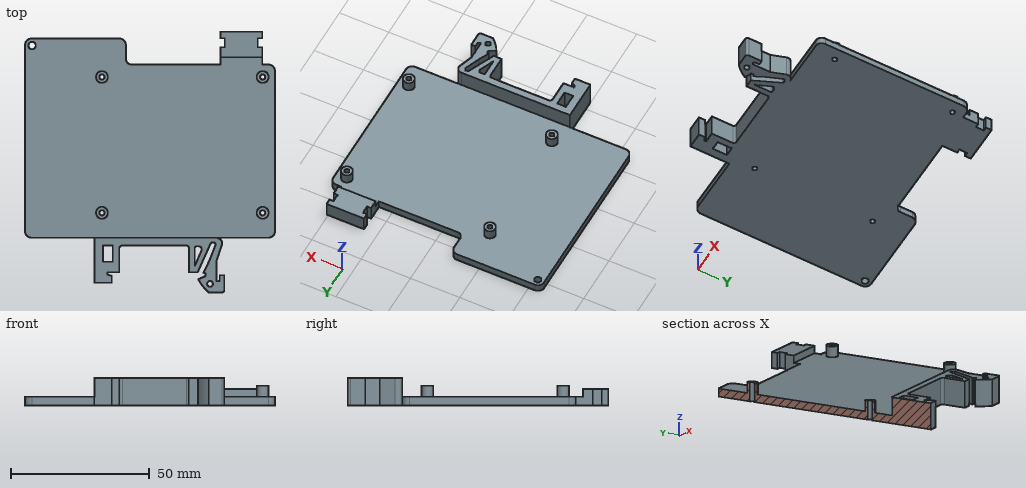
import cadquery as cq

PLATE_LENGTH = 90.3
PLATE_WIDTH = 72.0
PLATE_THICKNESS = 3.2
TAB_LENGTH = 36.5
STEP_DEPTH = 9.4
PLATE_CORNER_RADIUS = 2.5
STEP_INNER_RADIUS = 2.0

TAB_HOLE_DIAMETER = 2.6
TAB_HOLE_INSET = 2.6

STANDOFF_DIAMETER = 4.3
STANDOFF_HOLE_DIAMETER = 1.8
STANDOFF_HEIGHT = 4.0
STANDOFF_SPACING_X = 58.0
STANDOFF_SPACING_Y = 49.0
FIRST_STANDOFF_X = 27.8
FIRST_STANDOFF_Y = 9.05

BLOCK_WIDTH = 15.2
BLOCK_LEFT = 70.5
BLOCK_FRONT = 65.2
BLOCK_BACK = 74.4
NECK_OVERLAP = 1.0
BLOCK_TOP = 6.0
NOTCH_LENGTH = 3.2
NOTCH_DEPTH = 1.6
NOTCH_BACK_MARGIN = 2.4

CLIP_LEFT = 25.1
CLIP_HEIGHT = 10.0
CLIP_LENGTH = 46.9
OVERALL_WIDTH = 94.16
CLIP_REACH = OVERALL_WIDTH - BLOCK_BACK
BAR_THICKNESS = 2.8
LEG_BOTTOM = 12.4
LEFT_LEG_WIDTH = 9.0
RIGHT_LEG_LEFT = 34.1
RIGHT_LEG_TIP = 37.3
LEG_CORNER_RADIUS = 1.0
FOOT_BOTTOM = 16.2
FOOT_WIDTH = 6.3
FOOT_UNDERCUT_LEFT = 4.8
FOOT_LIP_INNER = 13.2
FOOT_LIP_OUTER = 13.7
SLOT_TOP = 1.7
SLOT_TOP_LEFT = 42.1
SLOT_TOP_RIGHT = 44.0
ARM_BEND = (41.3, -8.5)
ARM_RIGHT = 44.1
ARM_STRAIGHT_TOP = 8.2
CATCH_LEFT = 39.3
CATCH_RIGHT = 40.0
CATCH_START = 12.6
CATCH_TOP = 12.8
CATCH_BOTTOM = 13.8
NOSE_TIP = (37.4, -14.9)
NOSE_MIDDLE = (39.1, -17.5)
NOSE_BOTTOM_X = 41.3
HOOK_TOP = 13.4
HOOK_LEFT = 45.2
GROOVE_BOTTOM = 15.6
ARM_SHOULDER_RADIUS = 2.0
SLOT_END_RADIUS = 0.7
HOOK_CORNER_RADIUS = 1.0
GROOVE_CORNER_RADIUS = 0.5

WINDOW_LEFT = 3.1
WINDOW_WIDTH = 3.5
WINDOW_LENGTH = 5.8
WEDGE_LEFT = 36.2
WEDGE_TOP = 3.1
WEDGE_WIDTH = 3.0
WEDGE_LENGTH = 7.0
WEDGE_LEFT_RADIUS = 0.5
WEDGE_RIGHT_RADIUS = 1.0
RELEASE_HOLE_DIAMETER = 2.0
RELEASE_HOLE_CENTER = (41.7, -16.6)


def round_corner(body, x, y, radius):
    """Round the vertical edge that passes through (x, y)."""
    reach = 0.05
    picker = cq.selectors.BoxSelector((x - reach, y - reach, 0), (x + reach, y + reach, CLIP_HEIGHT))
    return body.edges("|Z").edges(picker).fillet(radius)


def make_plate():
    narrow_width = PLATE_WIDTH - STEP_DEPTH
    outer_corners = [
        (0, 0),
        (PLATE_LENGTH, 0),
        (PLATE_LENGTH, narrow_width),
        (TAB_LENGTH, PLATE_WIDTH),
        (0, PLATE_WIDTH),
    ]
    inner_corner = (TAB_LENGTH, narrow_width)
    outline = outer_corners[:3] + [inner_corner] + outer_corners[3:]
    plate = cq.Workplane("XY").polyline(outline).close().extrude(PLATE_THICKNESS)
    for x, y in outer_corners:
        plate = round_corner(plate, x, y, PLATE_CORNER_RADIUS)
    return round_corner(plate, *inner_corner, STEP_INNER_RADIUS)


def make_block():
    """Block with a notch in each side, on a neck that carries on from the plate."""
    neck_front = PLATE_WIDTH - STEP_DEPTH - NECK_OVERLAP
    neck = (
        cq.Workplane("XY")
        .box(BLOCK_WIDTH, BLOCK_BACK - neck_front, PLATE_THICKNESS, centered=False)
        .translate((BLOCK_LEFT, neck_front, 0))
    )
    block = (
        cq.Workplane("XY")
        .box(BLOCK_WIDTH, BLOCK_BACK - BLOCK_FRONT, BLOCK_TOP, centered=False)
        .translate((BLOCK_LEFT, BLOCK_FRONT, 0))
    )
    notch_center_y = BLOCK_BACK - NOTCH_BACK_MARGIN - NOTCH_LENGTH / 2
    notches = (
        cq.Workplane("XY")
        .pushPoints([(BLOCK_LEFT, notch_center_y), (BLOCK_LEFT + BLOCK_WIDTH, notch_center_y)])
        .rect(2 * NOTCH_DEPTH, NOTCH_LENGTH)
        .extrude(BLOCK_TOP)
    )
    return neck.union(block).cut(notches)


def make_clip():
    """Rail clip: fixed foot on the left, slanted spring arm with a hook on the right."""
    left_inner_corner = (LEFT_LEG_WIDTH, -BAR_THICKNESS)
    right_inner_corner = (RIGHT_LEG_LEFT, -BAR_THICKNESS)
    slot_end_left = (SLOT_TOP_LEFT, -SLOT_TOP)
    slot_end_right = (SLOT_TOP_RIGHT, -SLOT_TOP)
    hook_corner = (CLIP_LENGTH, -CLIP_REACH)
    groove_corner = (HOOK_LEFT, -GROOVE_BOTTOM)
    shoulder = (CLIP_LENGTH, 0)
    clip = (
        cq.Workplane("XY")
        .moveTo(0, 0)
        .lineTo(0, -FOOT_BOTTOM)
        .lineTo(FOOT_WIDTH, -FOOT_BOTTOM)
        .lineTo(FOOT_WIDTH, -FOOT_LIP_OUTER)
        .lineTo(FOOT_UNDERCUT_LEFT, -FOOT_LIP_INNER)
        .lineTo(FOOT_UNDERCUT_LEFT, -LEG_BOTTOM)
        .lineTo(LEFT_LEG_WIDTH, -LEG_BOTTOM)
        .lineTo(*left_inner_corner)
        .lineTo(*right_inner_corner)
        .lineTo(RIGHT_LEG_LEFT, -LEG_BOTTOM)
        .lineTo(RIGHT_LEG_TIP, -LEG_BOTTOM)
        .lineTo(*slot_end_left)
        .lineTo(*slot_end_right)
        .lineTo(*ARM_BEND)
        .lineTo(CATCH_LEFT, -CATCH_START)
        .lineTo(CATCH_RIGHT, -CATCH_TOP)
        .lineTo(CATCH_RIGHT, -CATCH_BOTTOM)
        .lineTo(*NOSE_TIP)
        .threePointArc(NOSE_MIDDLE, (NOSE_BOTTOM_X, -CLIP_REACH))
        .lineTo(*hook_corner)
        .lineTo(CLIP_LENGTH, -HOOK_TOP)
        .lineTo(HOOK_LEFT, -HOOK_TOP)
        .lineTo(*groove_corner)
        .lineTo(ARM_RIGHT, -GROOVE_BOTTOM)
        .lineTo(ARM_RIGHT, -ARM_STRAIGHT_TOP)
        .lineTo(*shoulder)
        .close()
        .extrude(CLIP_HEIGHT)
    )
    rounded_corners = [
        (left_inner_corner, LEG_CORNER_RADIUS),
        (right_inner_corner, LEG_CORNER_RADIUS),
        (slot_end_left, SLOT_END_RADIUS),
        (slot_end_right, SLOT_END_RADIUS),
        (hook_corner, HOOK_CORNER_RADIUS),
        (groove_corner, GROOVE_CORNER_RADIUS),
        (shoulder, ARM_SHOULDER_RADIUS),
    ]
    for (x, y), radius in rounded_corners:
        clip = round_corner(clip, x, y, radius)
    clip = clip.cut(make_clip_openings())
    return clip.translate((CLIP_LEFT, 0, 0))


def make_clip_openings():
    """Solids for the window, the wedge-shaped opening and the release hole."""
    window = (
        cq.Workplane("XY")
        .box(WINDOW_WIDTH, WINDOW_LENGTH, CLIP_HEIGHT, centered=False)
        .translate((WINDOW_LEFT, -BAR_THICKNESS - WINDOW_LENGTH, 0))
    )
    wedge_right = WEDGE_LEFT + WEDGE_WIDTH
    wedge = (
        cq.Workplane("XY")
        .moveTo(WEDGE_LEFT, -WEDGE_TOP)
        .lineTo(WEDGE_LEFT, -WEDGE_TOP - WEDGE_LENGTH)
        .lineTo(wedge_right, -WEDGE_TOP)
        .close()
        .extrude(CLIP_HEIGHT)
    )
    wedge = round_corner(wedge, WEDGE_LEFT, -WEDGE_TOP, WEDGE_LEFT_RADIUS)
    wedge = round_corner(wedge, wedge_right, -WEDGE_TOP, WEDGE_RIGHT_RADIUS)
    release_hole = (
        cq.Workplane("XY")
        .center(*RELEASE_HOLE_CENTER)
        .circle(RELEASE_HOLE_DIAMETER / 2)
        .extrude(CLIP_HEIGHT)
    )
    return window.union(wedge).union(release_hole)


def cylinders(centers, diameter, height):
    return cq.Workplane("XY").pushPoints(centers).circle(diameter / 2).extrude(height)


standoff_centers = [
    (FIRST_STANDOFF_X + column * STANDOFF_SPACING_X, FIRST_STANDOFF_Y + row * STANDOFF_SPACING_Y)
    for column in range(2)
    for row in range(2)
]
standoff_top = PLATE_THICKNESS + STANDOFF_HEIGHT
tab_hole_center = (TAB_HOLE_INSET, PLATE_WIDTH - TAB_HOLE_INSET)

result = (
    make_plate()
    .union(make_block())
    .union(make_clip())
    .union(cylinders(standoff_centers, STANDOFF_DIAMETER, standoff_top))
    .cut(cylinders(standoff_centers, STANDOFF_HOLE_DIAMETER, standoff_top))
    .cut(cylinders([tab_hole_center], TAB_HOLE_DIAMETER, PLATE_THICKNESS))
)